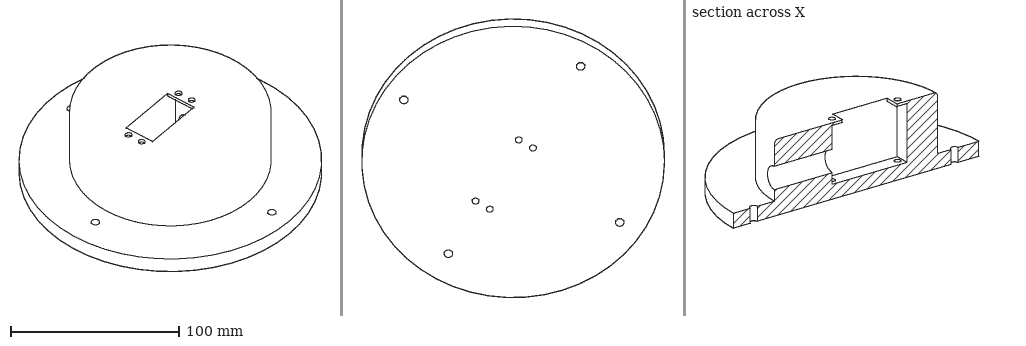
import cadquery as cq

flange_diameter = 180.0
flange_thickness = 10.0

housing_diameter = 120.0
housing_height = 40.0
housing_edge_radius = 3.0
total_height = flange_thickness + housing_height

mount_hole_diameter = 5.0
mount_hole_x_minus = -75.0
mount_hole_x_plus = 76.9
mount_hole_y_minus = -72.0
mount_hole_y_plus = 75.0

opening_width = 20.0
opening_length = 39.7
opening_center_y = -9.85

roof_thickness = 2.0
chamber_overhang = 7.5
chamber_length = opening_length + 2 * chamber_overhang
chamber_floor_z = flange_thickness

screw_hole_diameter = 4.0
screw_spacing_x = 10.0
screw_spacing_y = 48.0

cable_hole_diameter = 15.0
cable_hole_z = 25.0


def make_body():
    flange = cq.Workplane("XY").circle(flange_diameter / 2).extrude(flange_thickness)
    housing = (
        cq.Workplane("XY")
        .circle(housing_diameter / 2)
        .extrude(total_height)
        .faces(">Z")
        .edges()
        .fillet(housing_edge_radius)
    )
    return flange.union(housing)


def make_pocket():
    """Opening in the roof together with the longer chamber below it."""
    floor = cq.Workplane("XY", origin=(0, opening_center_y, chamber_floor_z))
    opening = floor.rect(opening_width, opening_length).extrude(total_height - chamber_floor_z)
    chamber_height = total_height - roof_thickness - chamber_floor_z
    chamber = floor.rect(opening_width, chamber_length).extrude(chamber_height)
    return opening.union(chamber)


def make_mount_holes():
    mount_hole_centers = [
        (mount_hole_x_minus, 0),
        (mount_hole_x_plus, 0),
        (0, mount_hole_y_minus),
        (0, mount_hole_y_plus),
    ]
    return (
        cq.Workplane("XY")
        .pushPoints(mount_hole_centers)
        .circle(mount_hole_diameter / 2)
        .extrude(flange_thickness)
    )


def make_screw_holes():
    """Four holes through the full height, centred on the opening."""
    return (
        cq.Workplane("XY", origin=(0, opening_center_y, 0))
        .rarray(screw_spacing_x, screw_spacing_y, 2, 2)
        .circle(screw_hole_diameter / 2)
        .extrude(total_height)
    )


def make_cable_hole():
    outer_y = housing_diameter / 2
    return (
        cq.Workplane("XZ", origin=(0, outer_y, cable_hole_z))
        .circle(cable_hole_diameter / 2)
        .extrude(outer_y - opening_center_y)
    )


result = (
    make_body()
    .cut(make_pocket())
    .cut(make_mount_holes())
    .cut(make_screw_holes())
    .cut(make_cable_hole())
)